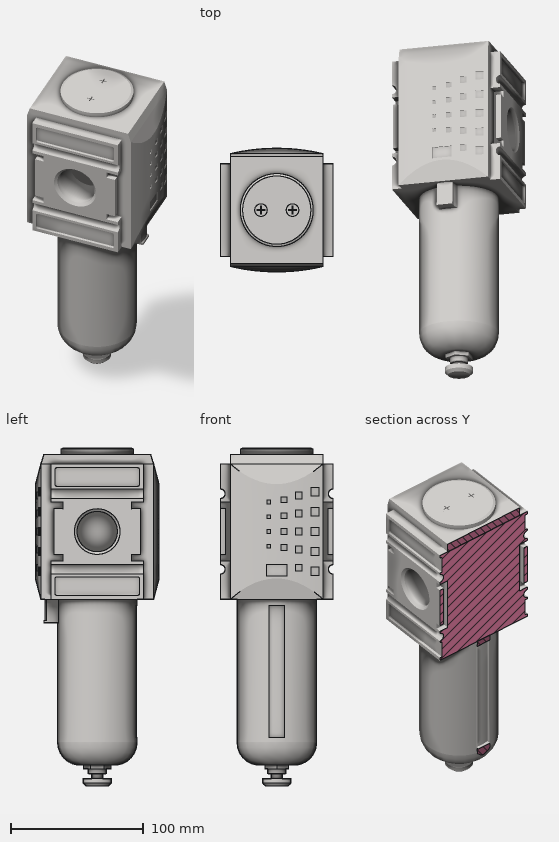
import cadquery as cq
import math


overall_width = 85.0
overall_depth = 93.26
body_width = 70.0
body_depth = 85.0
body_height = 102.1
mid_height = body_height / 2

bulge = (overall_depth - body_depth) / 2
bulge_slope_height = 15.5
window_size = (15.1, 8.6)
window_centre_height = 21.8
pocket_depth = 0.8
pocket_columns = (
    (-6.1, 2.8, 11.1, -1, 2),
    (5.4, 4.3, 12.0, -1, 2),
    (16.5, 5.1, 13.6, -2, 2),
    (28.8, 6.2, 15.0, -2, 2),
)

flange_depth = 70.0
flange_thickness = (overall_width - body_width) / 2
pad_depth = 65.4
pad_height = 34.6
pad_thickness = 3.8
neck_depth = 51.6
neck_height = 44.7
groove_radius = 3.5
groove_offset = 28.5
panel_depth = 63.8
panel_height = 14.0
panel_recess = 2.0
panel_corner_radius = 1.5
panel_offset = 41.1
port_radius = 15.2
port_mouth_radius = 17.2
port_mouth_depth = 2.0
port_depth = 25.0

cover_top = 109.3
cover_top_depth = 80.5
disc_top = 114.0
disc_radius = 27.5
disc_edge_width = 1.8
disc_edge_height = 0.9
screw_spacing = 23.8
screw_radius = 4.75
screw_length = 4.0
cross_length = 5.8
cross_width = 0.9
cross_depth = 1.5

bowl_radius = 30.0
bowl_straight_height = 107.9
bowl_bottom = -125.0
bowl_corner_radius = -bowl_bottom - bowl_straight_height
slot_width = 11.8
slot_top = -4.7
slot_bottom = -104.2
slot_floor_radius = 27.4

nut_across_flats = 18.0
nut_bottom = -127.8
collar_radius = 6.8
collar_neck_radius = 4.2
collar_bottom = -131.7
collar_chamfer = 0.5
knob_radius = 10.65
knob_top = -135.1
knob_chamfer_top = -138.6
knob_end_radius = 8.4
knob_bottom = -140.8

button_bottom = -17.8
button_half_width = 6.0
button_root_half_width = 7.5
button_root = 28.0
button_waist = 34.7
button_edge = 38.4
button_crown = 39.4
button_lip = 40.2
button_lip_height = 2.0


def bulged_plan(depth_offset):
    """Plan of the housing with its bulged front and back moved inwards by depth_offset."""
    half_width = body_width / 2
    edge = body_depth / 2 - depth_offset
    crown = edge + bulge
    return (
        cq.Workplane("XY")
        .moveTo(-half_width, -edge)
        .threePointArc((0, -crown), (half_width, -edge))
        .lineTo(half_width, edge)
        .threePointArc((0, crown), (-half_width, edge))
        .close()
        .extrude(body_height)
    )


def sloped_block():
    """Block whose front and back lean in towards the top and bottom of the housing."""
    edge = body_depth / 2
    crown = edge + bulge
    lower = bulge_slope_height
    upper = body_height - bulge_slope_height
    return (
        cq.Workplane("YZ")
        .polyline([
            (-edge, 0), (edge, 0), (crown, lower), (crown, upper),
            (edge, body_height), (-edge, body_height), (-crown, upper), (-crown, lower),
        ])
        .close()
        .extrude(body_width / 2, both=True)
    )


def front_pockets():
    """Square pockets and label window on the front, with floors that follow the bulge."""
    reach = overall_depth / 2
    pockets = (
        cq.Workplane("XZ")
        .center(0, window_centre_height)
        .rect(*window_size)
        .extrude(reach)
    )
    for x, size, pitch, first, last in pocket_columns:
        places = [(x, mid_height + step * pitch) for step in range(first, last + 1)]
        column = cq.Workplane("XZ").pushPoints(places).rect(size, size).extrude(reach)
        pockets = pockets.union(column)
    return pockets.cut(bulged_plan(pocket_depth))


def flange():
    """Connection flange on the -X side: grooves, panels and a T-shaped pad round the port."""
    back = -body_width / 2
    face = -overall_width / 2
    body = cq.Workplane("XY").box(flange_thickness, flange_depth, body_height)
    middle = cq.Workplane("XY").box(flange_thickness, flange_depth, neck_height)
    neck = cq.Workplane("XY").box(flange_thickness, neck_depth, neck_height)
    pad = (
        cq.Workplane("XY")
        .box(pad_thickness, pad_depth, pad_height)
        .translate(((pad_thickness - flange_thickness) / 2, 0, 0))
    )
    body = body.cut(middle).union(neck).union(pad)
    body = body.translate(((back + face) / 2, 0, mid_height))
    for side in (-1, 1):
        groove = (
            cq.Workplane("XZ")
            .center(face, mid_height + side * groove_offset)
            .circle(groove_radius)
            .extrude(flange_depth / 2, both=True)
        )
        panel = (
            cq.Workplane("XY")
            .box(2 * panel_recess, panel_depth, panel_height)
            .edges("|X")
            .fillet(panel_corner_radius)
            .translate((face, 0, mid_height + side * panel_offset))
        )
        body = body.cut(groove).cut(panel)
    return body


def port():
    """Blind port with a conical mouth, entering from the -X side."""
    face = -overall_width / 2
    return (
        cq.Workplane("XY")
        .polyline([
            (face, 0),
            (face, port_mouth_radius),
            (face + port_mouth_depth, port_radius),
            (face + port_depth, port_radius),
            (face + port_depth, 0),
        ])
        .close()
        .revolve(360, (0, 0, 0), (1, 0, 0))
        .translate((0, 0, mid_height))
    )


def half_turn(shape):
    return shape.rotate((0, 0, 0), (0, 0, 1), 180)


def make_housing():
    body = bulged_plan(0).intersect(sloped_block())
    pockets = front_pockets()
    side_flange = flange()
    side_port = port()
    body = body.cut(pockets).cut(half_turn(pockets))
    body = body.union(side_flange).union(half_turn(side_flange))
    return body.cut(side_port).cut(half_turn(side_port))


def make_top_cover():
    lower = body_depth / 2
    upper = cover_top_depth / 2
    return (
        cq.Workplane("YZ")
        .polyline([(-lower, body_height), (lower, body_height), (upper, cover_top), (-upper, cover_top)])
        .close()
        .extrude(body_width / 2, both=True)
    )


def screw_places():
    return [(-screw_spacing / 2, 0), (screw_spacing / 2, 0)]


def make_disc():
    disc = (
        cq.Workplane("XY", origin=(0, 0, cover_top))
        .circle(disc_radius)
        .extrude(disc_top - cover_top)
        .faces(">Z")
        .chamfer(disc_edge_height, disc_edge_width)
    )
    seats = (
        cq.Workplane("XY", origin=(0, 0, disc_top))
        .pushPoints(screw_places())
        .circle(screw_radius)
        .extrude(-screw_length)
    )
    return disc.cut(seats)


def make_screw(place):
    """Screw head, flush with the disc, with a cross recess."""
    level = cq.Workplane("XY", origin=(*place, disc_top))
    head = level.circle(screw_radius).extrude(-screw_length)
    for size in ((cross_length, cross_width), (cross_width, cross_length)):
        head = head.cut(level.rect(*size).extrude(-cross_depth))
    return head


def make_bowl():
    diagonal = bowl_corner_radius * math.sqrt(0.5)
    flat_radius = bowl_radius - bowl_corner_radius
    body = (
        cq.Workplane("XZ")
        .moveTo(0, 0)
        .lineTo(bowl_radius, 0)
        .lineTo(bowl_radius, -bowl_straight_height)
        .threePointArc(
            (flat_radius + diagonal, -bowl_straight_height - diagonal),
            (flat_radius, bowl_bottom),
        )
        .lineTo(0, bowl_bottom)
        .close()
        .revolve(360, (0, 0, 0), (0, 1, 0))
    )
    slot = (
        cq.Workplane("XZ")
        .center(0, (slot_top + slot_bottom) / 2)
        .rect(slot_width, slot_top - slot_bottom)
        .extrude(bowl_radius)
    )
    slot_floor = cq.Workplane("XY").circle(slot_floor_radius).extrude(bowl_bottom)
    return body.cut(slot.cut(slot_floor))


def make_drain_valve():
    across_corners = nut_across_flats / math.cos(math.radians(30))
    nut = (
        cq.Workplane("XY", origin=(0, 0, bowl_bottom))
        .transformed(rotate=(0, 0, 90))
        .polygon(6, across_corners)
        .extrude(nut_bottom - bowl_bottom)
    )
    stem = (
        cq.Workplane("XZ")
        .polyline([
            (0, nut_bottom),
            (collar_radius, nut_bottom),
            (collar_radius, collar_bottom + collar_chamfer),
            (collar_radius - collar_chamfer, collar_bottom),
            (collar_neck_radius, collar_bottom),
            (collar_neck_radius, knob_top),
            (knob_radius, knob_top),
            (knob_radius, knob_chamfer_top),
            (knob_end_radius, knob_bottom),
            (0, knob_bottom),
        ])
        .close()
        .revolve(360, (0, 0, 0), (0, 1, 0))
    )
    return nut.union(stem)


def make_release_button():
    """Button behind the bowl: a tapered root, a rounded outer face and a lip at the bottom."""
    body = (
        cq.Workplane("XY")
        .moveTo(-button_root_half_width, button_root)
        .lineTo(button_root_half_width, button_root)
        .lineTo(button_half_width, button_waist)
        .lineTo(button_half_width, button_edge)
        .threePointArc((0, button_crown), (-button_half_width, button_edge))
        .lineTo(-button_half_width, button_waist)
        .close()
        .extrude(button_bottom)
    )
    lip = (
        cq.Workplane("XY", origin=(0, (button_waist + button_lip) / 2, button_bottom))
        .rect(2 * button_half_width, button_lip - button_waist)
        .extrude(button_lip_height)
    )
    bowl_space = cq.Workplane("XY").circle(bowl_radius).extrude(button_bottom)
    return body.union(lip).cut(bowl_space)


housing = make_housing()
top_cover = make_top_cover()
disc = make_disc()
screws = [make_screw(place) for place in screw_places()]
bowl = make_bowl()
drain_valve = make_drain_valve()
release_button = make_release_button()

result = cq.Compound.makeCompound([
    housing.val(),
    top_cover.val(),
    disc.val(),
    *[screw.val() for screw in screws],
    bowl.val(),
    drain_valve.val(),
    release_button.val(),
])